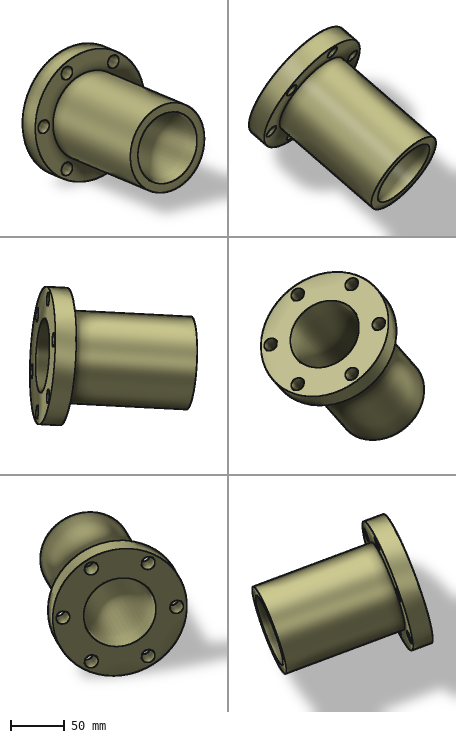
import cadquery as cq

total_length = 140.0
flange_diameter = 130.0
flange_thickness = 20.0
barrel_diameter = 87.9
bore_diameter = 70.0

bolt_hole_count = 6
bolt_hole_diameter = 13.0
bolt_circle_diameter = 110.0


def disc(diameter, length):
    """Solid cylinder along +X, starting at the flange face."""
    return cq.Workplane("YZ").circle(diameter / 2).extrude(length)


def bolt_holes():
    """Ring of through-hole cutters, the first one on the Y axis."""
    return (
        cq.Workplane("YZ")
        .polarArray(bolt_circle_diameter / 2, 0, 360, bolt_hole_count)
        .circle(bolt_hole_diameter / 2)
        .extrude(flange_thickness)
    )


flange = disc(flange_diameter, flange_thickness).cut(bolt_holes())
barrel = disc(barrel_diameter, total_length)
bore = disc(bore_diameter, total_length)

result = flange.union(barrel).cut(bore)